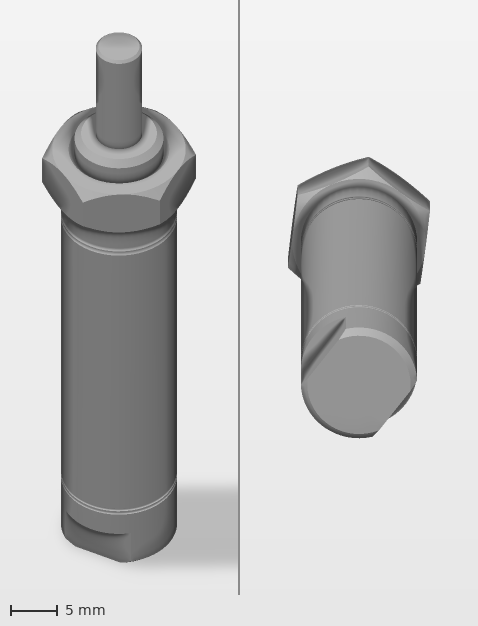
import cadquery as cq
import math

total_height = 69.85

barrel_radius = 12.4 / 2
barrel_top = 49.4
collar_radius = 4.75
collar_top = 57.2
collar_chamfer = 0.7
base_chamfer = 0.7
flat_spacing = 9.6
flat_height = 4.8

groove_depth = 0.4
groove_land = 0.15
upper_groove_top = 46.25
upper_groove_width = 1.05
upper_groove_bottom = upper_groove_top - upper_groove_width
lower_groove_top = 8.45
lower_groove_width = 0.85
lower_groove_bottom = lower_groove_top - lower_groove_width

rod_radius = 4.95 / 2
rod_chamfer = 0.3
rod_bottom = barrel_top

nut_across_flats = 14.25
nut_across_corners = nut_across_flats / math.cos(math.pi / 6)
nut_height = 5.5
nut_face_radius = nut_across_flats / 2
nut_corner_chamfer_height = 1.05
countersink_radius = 5.4


def cylinder(radius, bottom, top):
    return cq.Workplane("XY").workplane(offset=bottom).circle(radius).extrude(top - bottom)


def revolve_profile(points):
    """Solid of revolution about Z from (radius, height) points."""
    return cq.Workplane("XZ").polyline(points).close().revolve(360, (0, 0, 0), (0, 1, 0))


def make_crimp_groove(shelf_end, cone_end):
    """Two sawtooth rings to cut from the barrel, each a flat shelf and a cone back out to the barrel.

    The shelves lie towards height shelf_end and the cones run out towards height cone_end.
    """
    middle = (shelf_end + cone_end) / 2
    half_land = math.copysign(groove_land / 2, cone_end - shelf_end)
    root_radius = barrel_radius - groove_depth
    outside_radius = barrel_radius + groove_depth
    profile = [
        (outside_radius, shelf_end),
        (root_radius, shelf_end),
        (barrel_radius, middle - half_land),
        (barrel_radius, middle + half_land),
        (root_radius, middle + half_land),
        (barrel_radius, cone_end),
        (outside_radius, cone_end),
    ]
    return revolve_profile(profile)


def make_housing():
    barrel = cylinder(barrel_radius, 0, barrel_top).faces("<Z").chamfer(base_chamfer)
    collar = cylinder(collar_radius, barrel_top, collar_top).faces(">Z").chamfer(collar_chamfer)
    housing = barrel.union(collar)

    housing = housing.cut(make_crimp_groove(upper_groove_top, upper_groove_bottom))
    housing = housing.cut(make_crimp_groove(lower_groove_bottom, lower_groove_top))

    base_blank = cylinder(2 * barrel_radius, 0, flat_height)
    between_flats = cq.Workplane("XY").box(
        4 * barrel_radius, flat_spacing, flat_height, centered=(True, True, False)
    )
    housing = housing.cut(base_blank.cut(between_flats))

    return housing.cut(cylinder(rod_radius, rod_bottom, collar_top))


def make_rod():
    return cylinder(rod_radius, rod_bottom, total_height).faces(">Z").chamfer(rod_chamfer)


def make_nut():
    nut_top = barrel_top + nut_height
    hexagon = (
        cq.Workplane("XY")
        .workplane(offset=barrel_top)
        .polygon(6, nut_across_corners)
        .extrude(nut_height)
        .rotate((0, 0, 0), (0, 0, 1), 30)
    )

    corner_radius = nut_across_corners / 2
    trim_profile = [
        (0, barrel_top),
        (nut_face_radius, barrel_top),
        (corner_radius, barrel_top + nut_corner_chamfer_height),
        (corner_radius, nut_top - nut_corner_chamfer_height),
        (nut_face_radius, nut_top),
        (0, nut_top),
    ]
    trim = revolve_profile(trim_profile)

    hole = cylinder(collar_radius, barrel_top, nut_top)
    countersink_depth = countersink_radius - collar_radius
    countersink_profile = [
        (0, nut_top),
        (countersink_radius, nut_top),
        (collar_radius, nut_top - countersink_depth),
        (0, nut_top - countersink_depth),
    ]
    countersink = revolve_profile(countersink_profile)
    return hexagon.intersect(trim).cut(hole).cut(countersink)


housing = make_housing()
rod = make_rod()
nut = make_nut()

result = cq.Compound.makeCompound([housing.val(), rod.val(), nut.val()])